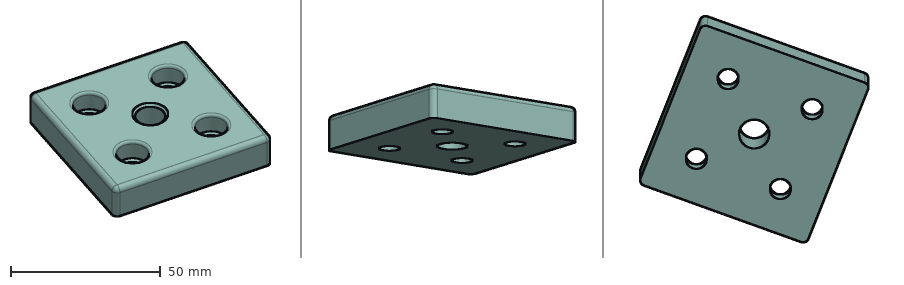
import cadquery as cq

side = 60.0
thickness = 12.0
edge_radius = 2.0

centre_diameter = 10.1
centre_mouth_diameter = 12.0
chamfer_angle = 90

screw_spacing = side / 2
screw_diameter = 7.0
counterbore_diameter = 11.0
counterbore_depth = 7.0
rim_radius = 1.0


def rounded_plate():
    """Plate with rounded upright edges and top edges."""
    plate = cq.Workplane("XY").box(side, side, thickness, centered=(True, True, False))
    return plate.edges("|Z or >Z").fillet(edge_radius)


def top_plane(body):
    """Workplane centred on the top face."""
    return body.faces(">Z").workplane(origin=(0, 0, thickness))


def add_centre_hole(body):
    """Through hole with a chamfered mouth."""
    return top_plane(body).cskHole(centre_diameter, centre_mouth_diameter, chamfer_angle)


def add_screw_holes(body):
    """Counterbored through holes with rounded mouths."""
    places = top_plane(body).rect(screw_spacing, screw_spacing, forConstruction=True).vertices()
    body = places.cboreHole(screw_diameter, counterbore_diameter, counterbore_depth)
    rims = body.faces(">Z").edges(cq.selectors.RadiusNthSelector(-1))
    return rims.fillet(rim_radius)


result = add_centre_hole(add_screw_holes(rounded_plate()))